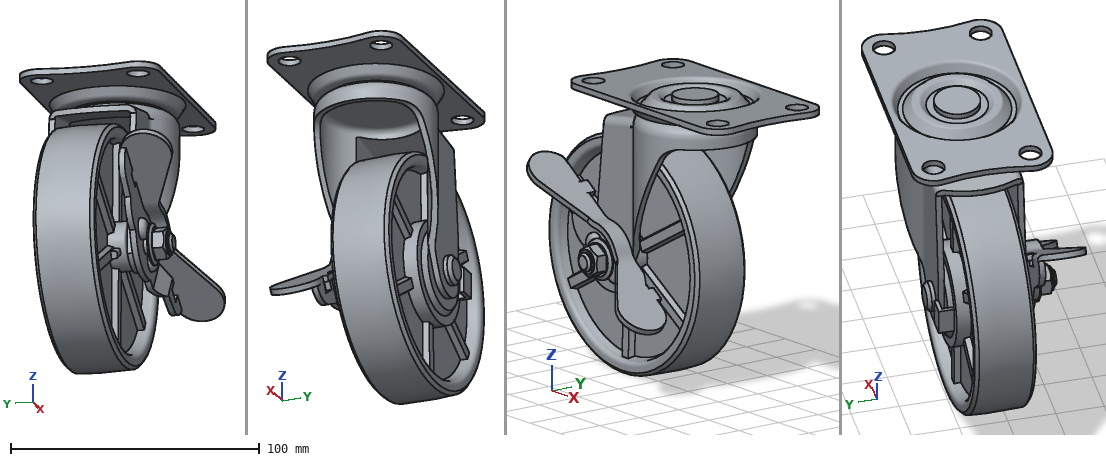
import cadquery as cq
import math


SHEET = 2.5
SWIVEL_X = 32.0
PLATE_TOP = 71.8

PLATE_LENGTH_HALF_WAIST = 47.8
PLATE_WIDTH = 58.0
BOLT_HOLE_X = 41.0
BOLT_HOLE_Y = 20.0
BOLT_HOLE_RADIUS = 4.5
DISH_RADIUS = 27.5
DISH_DEPTH = 4.4
DISH_EDGE = 26.1
DISH_BASE = 24.8
RING_OUTER = 18.2
RING_INNER = 15.0
RING_DROP = 0.3
PIT_DEPTH = 2.2
KINGPIN_RADIUS = 9.4

FORK_RADIUS = 25.0
FORK_TOP = 64.3
FORK_SHOULDER = 5.1
RACE_RADIUS = 20.5
SKIRT_BOTTOM = 55.2
LEG_OUTER_Y = 18.2
LEG_INNER_Y = LEG_OUTER_Y - SHEET
LEG_END_RADIUS = 11.1
LEG_FRONT_X = -5.0
HOOD_FRONT_X = -9.4
HOOD_FRONT_Z = 56.9
HOOD_UNDERSIDE = 54.1
HOOD_ANGLE = 9.2
HOOD_EDGE_RADIUS = 3.7
LEG_BEND_RADIUS = 4.6
LEG_BEND_TOP = 57.3
SKIRT_SWEEP_RADIUS = 10.5
SKIRT_CORNER_X = 42.0

WHEEL_RADIUS = 50.0
WHEEL_HALF_WIDTH = 12.7
TREAD_CROWN = 0.4
TREAD_EDGE = 1.5
RIM_FACE_RADIUS = 45.8
RIM_ROUND = 2.1
WEB_RADIUS = 42.6
WEB_HALF_WIDTH = 7.5
RIB_COUNT = 6
RIB_WIDTH = 4.1
RIB_HALF_WIDTH = 10.0
RIB_DRAFT = 20.0
RIB_TURN = 1.7
HUB_RADIUS = 10.2
HUB_FRONT_Y = -14.9
HUB_ROUND = 0.8
SLEEVE_RADIUS = 4.6
CAP_FLANGE_RADIUS = 21.6
CAP_FLANGE_Y = 13.6
CAP_RADIUS = 17.7
CAP_SLOPE = 2.0
TAB_FRONT_X = -17.8
TAB_REAR_X = -10.3
TAB_HALF_HEIGHT = 5.4
TAB_THICKNESS = 1.7
TAB_GAP = 0.1
KNOB_TURN = 150.0
KNOB_END_RADIUS = 15.5
KNOB_Y = -12.7
KNOB_WIDTH = 3.2
KNOB_ROUND = 1.0

BOLT_RADIUS = 4.0
BOLT_END_Y = -32.5
BOLT_CHAMFER = 1.0
HEAD_RADIUS = 6.2
HEAD_HEIGHT = 3.3
HEAD_EDGE = 1.6
NUT_FLANGE_RADIUS = 8.6
NUT_FLANGE_HEIGHT = 0.7
NUT_CONE_RADIUS = 7.0
NUT_CONE_HEIGHT = 0.9
NUT_CHAMFER = 1.0
NUT_ACROSS_FLATS = 11.6
NUT_HEX_END_Y = -30.4
NUT_COLLAR_RADIUS = 5.0
NUT_COLLAR_HEIGHT = 0.5

LEVER_TILT = 34.0
LEVER_BACK_Y = -LEG_OUTER_Y
LEVER_STEP = 3.7
STEP_START = 17.8
STEP_END = 25.7
WING_END = 42.6
FLANGE_LEFT = 12.8
FLANGE_RIGHT = 11.9
FLANGE_HUMP_RADIUS = 16.2
FLANGE_BLEND_RADIUS = 10.5
FLANGE_BEND_RADIUS = 2.0
FLANGE_Y = -27.2
FLANGE_WAIST_LEFT = -11.9
FLANGE_WAIST_RIGHT = 11.2
PEDAL_RADIUS = 10.4
PEDAL_X = 38.9
LEFT_PEDAL_Y = -28.2
RIGHT_PEDAL_Y = -32.3
DIMPLE_X = 8.5
DIMPLE_RADIUS = 4.5
DIMPLE_HEIGHT = 2.8
DIMPLE_ROUND = 2.5
LEFT_RELIEF_X = -30.7
LEFT_RELIEF_DEPTH = 2.6
RIGHT_RELIEF_X = 28.2
RIGHT_RELIEF_DEPTH = 4.5
RELIEF_LENGTH = 6.5
LUG_REACH = 2.1

LEVER_DEPTH = 52.8
DIMPLE_TOP_Y = LEVER_BACK_Y - SHEET - DIMPLE_HEIGHT


def turned_on_axle(points):
    """Solid of revolution about the Y axis from (radius, y) points."""
    return cq.Workplane("XY").polyline(points).close().revolve(360, (0, 0, 0), (0, 1, 0))


def turned_on_swivel(points):
    """Solid of revolution about the swivel axis from (radius, z) points."""
    ring = cq.Workplane("XZ").polyline(points).close().revolve(360, (0, 0, 0), (0, 1, 0))
    return ring.translate((SWIVEL_X, 0, 0))


def round_ring(body, radius, fillet_radius):
    """Fillet the circular edge of the given radius."""
    rims = body.edges("%CIRCLE").filter(lambda edge: abs(edge.radius() - radius) < 0.01)
    return rims.fillet(fillet_radius)


def axle_cylinder(radius, y_start, y_end):
    return cq.Workplane("XZ", origin=(0, y_start, 0)).circle(radius).extrude(y_start - y_end)


def box_between(x, y, z):
    """Box spanning the three given (low, high) ranges."""
    size = [high - low for low, high in (x, y, z)]
    return cq.Workplane("XY").box(*size, centered=False).translate((x[0], y[0], z[0]))


def plate_outline():
    """Rectangle with round corners about the bolt holes and scooped ends tangent to them."""
    corner = PLATE_WIDTH / 2 - BOLT_HOLE_Y
    waist = PLATE_LENGTH_HALF_WAIST
    gap = waist - BOLT_HOLE_X
    scoop = (BOLT_HOLE_Y**2 + gap**2 - corner**2) / (2 * (corner - gap))
    share = corner / (scoop + corner)
    join_x = BOLT_HOLE_X + share * (waist + scoop - BOLT_HOLE_X)
    join_y = BOLT_HOLE_Y * (1 - share)
    diagonal = corner * math.sqrt(0.5)
    knee_x = BOLT_HOLE_X + diagonal
    knee_y = BOLT_HOLE_Y + diagonal
    edge_y = PLATE_WIDTH / 2
    return (
        cq.Workplane("XY", origin=(SWIVEL_X, 0, PLATE_TOP))
        .moveTo(-BOLT_HOLE_X, edge_y)
        .lineTo(BOLT_HOLE_X, edge_y)
        .threePointArc((knee_x, knee_y), (join_x, join_y))
        .threePointArc((waist, 0), (join_x, -join_y))
        .threePointArc((knee_x, -knee_y), (BOLT_HOLE_X, -edge_y))
        .lineTo(-BOLT_HOLE_X, -edge_y)
        .threePointArc((-knee_x, -knee_y), (-join_x, -join_y))
        .threePointArc((-waist, 0), (-join_x, join_y))
        .threePointArc((-knee_x, knee_y), (-BOLT_HOLE_X, edge_y))
        .close()
    )


def make_plate():
    top = PLATE_TOP
    floor = top - DISH_DEPTH
    pit = top - PIT_DEPTH
    ring_top = top - RING_DROP
    flat = plate_outline().extrude(-SHEET)
    opening = cq.Workplane("XY", origin=(SWIVEL_X, 0, top)).circle(DISH_RADIUS).extrude(-SHEET)
    dish = turned_on_swivel([
        (DISH_RADIUS, top), (DISH_EDGE, top), (23.9, floor), (21.9, floor),
        (RING_OUTER, ring_top), (RING_INNER, ring_top), (12.5, pit), (KINGPIN_RADIUS, pit),
        (KINGPIN_RADIUS, pit - SHEET), (13.5, pit - SHEET), (15.8, ring_top - SHEET),
        (17.0, ring_top - SHEET), (20.5, floor - SHEET), (DISH_BASE, floor - SHEET),
        (DISH_RADIUS, top - SHEET),
    ])
    dish = round_ring(dish, DISH_EDGE, 2.0)
    dish = round_ring(dish, RING_OUTER, 1.3)
    dish = round_ring(dish, RING_INNER, 1.7)
    dish = round_ring(dish, DISH_BASE, 2.4)
    holes = (
        cq.Workplane("XY", origin=(SWIVEL_X, 0, top))
        .rect(2 * BOLT_HOLE_X, 2 * BOLT_HOLE_Y, forConstruction=True)
        .vertices()
        .circle(BOLT_HOLE_RADIUS)
        .extrude(-SHEET)
    )
    return flat.cut(opening).union(dish).cut(holes)


def fork_cup(radius, top, shoulder):
    """Round, downward-open cup volume of the fork."""
    cup = cq.Workplane("XY", origin=(SWIVEL_X, 0, top)).circle(radius).extrude(-top)
    return cup.faces(">Z").edges().fillet(shoulder)


def fork_hood(half_width, drop, front_x, edge_radius):
    """Channel volume between the leg faces under the sloping hood."""
    rise = math.tan(math.radians(HOOD_ANGLE))

    def hood_z(x):
        return HOOD_FRONT_Z - drop + rise * (x - HOOD_FRONT_X)

    side = (
        cq.Workplane("XZ", origin=(0, half_width, 0))
        .polyline([
            (front_x, -LEG_END_RADIUS), (SWIVEL_X, -LEG_END_RADIUS),
            (SWIVEL_X, hood_z(SWIVEL_X)), (front_x, hood_z(front_x)),
        ])
        .close()
        .extrude(2 * half_width)
    )
    return side.faces(">Z").edges("|X or (not |Y)").edges(">Y or <Y").fillet(edge_radius)


def leg_bend(side):
    """Concave bend that blends a flat leg into the round cup (side is -1 or 1)."""
    centre_y = LEG_OUTER_Y + LEG_BEND_RADIUS
    reach = FORK_RADIUS + LEG_BEND_RADIUS
    run = math.sqrt(reach**2 - centre_y**2)
    share = FORK_RADIUS / reach
    slope = math.atan2(-centre_y, run)
    middle = (slope - math.pi / 2) / 2
    middle_x = -run + LEG_BEND_RADIUS * math.cos(middle)
    middle_y = centre_y + LEG_BEND_RADIUS * math.sin(middle)
    return (
        cq.Workplane("XY", origin=(SWIVEL_X, 0, -LEG_END_RADIUS))
        .moveTo(-run, side * LEG_OUTER_Y)
        .threePointArc((middle_x, side * middle_y), (-run * share, side * centre_y * share))
        .lineTo(-run * share, side * LEG_INNER_Y)
        .lineTo(-run, side * LEG_INNER_Y)
        .close()
        .extrude(LEG_BEND_TOP + LEG_END_RADIUS)
    )


def hood_front_trim():
    """Space ahead of the hood, whose front edge bows forward between the legs."""
    clear_x = 2 * HOOD_FRONT_X
    return (
        cq.Workplane("XY", origin=(0, 0, HOOD_UNDERSIDE))
        .moveTo(clear_x, -FORK_RADIUS)
        .lineTo(LEG_FRONT_X, -FORK_RADIUS)
        .lineTo(LEG_FRONT_X, -LEG_OUTER_Y)
        .threePointArc((HOOD_FRONT_X, 0), (LEG_FRONT_X, LEG_OUTER_Y))
        .lineTo(LEG_FRONT_X, FORK_RADIUS)
        .lineTo(clear_x, FORK_RADIUS)
        .close()
        .extrude(FORK_TOP - HOOD_UNDERSIDE)
    )


def tangent_point(x, z, side):
    """Point where a line from (x, z) touches the round leg end; side is -1 for front, 1 for rear."""
    distance = math.hypot(x, z)
    angle = math.atan2(z, x) - side * math.acos(LEG_END_RADIUS / distance)
    return LEG_END_RADIUS * math.cos(angle), LEG_END_RADIUS * math.sin(angle)


def leg_profile():
    """Side silhouette of the fork: tapering legs, swept rear edge and level skirt."""
    front_touch = tangent_point(LEG_FRONT_X, HOOD_UNDERSIDE, -1)
    rear_touch = tangent_point(SKIRT_CORNER_X, SKIRT_BOTTOM, 1)
    back_x = SWIVEL_X + FORK_RADIUS
    profile = (
        cq.Workplane("XZ", origin=(0, FORK_RADIUS, 0))
        .moveTo(HOOD_FRONT_X, FORK_TOP)
        .lineTo(HOOD_FRONT_X, HOOD_UNDERSIDE)
        .lineTo(LEG_FRONT_X, HOOD_UNDERSIDE)
        .lineTo(*front_touch)
        .threePointArc((0, -LEG_END_RADIUS), rear_touch)
        .lineTo(SKIRT_CORNER_X, SKIRT_BOTTOM)
        .lineTo(back_x, SKIRT_BOTTOM)
        .lineTo(back_x, FORK_TOP)
        .close()
        .extrude(2 * FORK_RADIUS)
    )
    corner = cq.selectors.NearestToPointSelector((SKIRT_CORNER_X, 0, SKIRT_BOTTOM))
    return profile.edges("|Y").edges(corner).fillet(SKIRT_SWEEP_RADIUS)


def make_fork():
    outer = fork_cup(FORK_RADIUS, FORK_TOP, FORK_SHOULDER)
    cup_legs = fork_hood(LEG_OUTER_Y, 0, HOOD_FRONT_X, HOOD_EDGE_RADIUS)
    inner = fork_cup(FORK_RADIUS - SHEET, FORK_TOP - SHEET, FORK_SHOULDER - SHEET)
    inner_legs = fork_hood(LEG_INNER_Y, SHEET, 2 * HOOD_FRONT_X, HOOD_EDGE_RADIUS - SHEET)
    fork = outer.union(cup_legs).union(leg_bend(1)).union(leg_bend(-1)).cut(inner).cut(inner_legs)
    fork = fork.intersect(leg_profile()).cut(hood_front_trim())
    cap_underside = FORK_TOP - SHEET
    race_top = PLATE_TOP - DISH_DEPTH - SHEET
    race = cq.Workplane("XY", origin=(SWIVEL_X, 0, cap_underside)).circle(RACE_RADIUS)
    kingpin = cq.Workplane("XY", origin=(SWIVEL_X, 0, cap_underside)).circle(KINGPIN_RADIUS)
    fork = fork.union(race.extrude(race_top - cap_underside))
    fork = fork.union(kingpin.extrude(PLATE_TOP - cap_underside))
    return fork.cut(axle_cylinder(BOLT_RADIUS, LEG_OUTER_Y, -LEG_OUTER_Y))


def wheel_tread():
    edge_radius = WHEEL_RADIUS - TREAD_CROWN
    half = WHEEL_HALF_WIDTH
    return (
        cq.Workplane("XY")
        .moveTo(0, -half)
        .lineTo(edge_radius - TREAD_EDGE, -half)
        .lineTo(edge_radius, -half + TREAD_EDGE)
        .threePointArc((WHEEL_RADIUS, 0), (edge_radius, half - TREAD_EDGE))
        .lineTo(edge_radius - TREAD_EDGE, half)
        .lineTo(0, half)
        .close()
        .revolve(360, (0, 0, 0), (0, 1, 0))
    )


def rim_recess(side):
    """Recess beside the web on one side of the wheel (side is -1 or 1)."""
    face = side * WHEEL_HALF_WIDTH
    web = side * WEB_HALF_WIDTH
    lip_radius = RIM_FACE_RADIUS - RIM_ROUND
    lip = side * (WHEEL_HALF_WIDTH - RIM_ROUND)
    bulge = RIM_ROUND * (1 - math.sqrt(0.5))
    return (
        cq.Workplane("XY")
        .moveTo(0, web)
        .lineTo(WEB_RADIUS, web)
        .lineTo(lip_radius, lip)
        .threePointArc((lip_radius + bulge, face - side * bulge), (RIM_FACE_RADIUS, face))
        .lineTo(0, face)
        .close()
        .revolve(360, (0, 0, 0), (0, 1, 0))
    )


def wheel_ribs():
    flare = RIB_WIDTH / 2 + (RIB_HALF_WIDTH - WEB_HALF_WIDTH) * math.tan(math.radians(RIB_DRAFT))
    half_top = RIB_WIDTH / 2
    section = [
        (-half_top, -RIB_HALF_WIDTH), (half_top, -RIB_HALF_WIDTH), (flare, -WEB_HALF_WIDTH),
        (flare, WEB_HALF_WIDTH), (half_top, RIB_HALF_WIDTH), (-half_top, RIB_HALF_WIDTH),
        (-flare, WEB_HALF_WIDTH), (-flare, -WEB_HALF_WIDTH),
    ]
    rib = cq.Workplane("XY").polyline(section).close().extrude(RIM_FACE_RADIUS - 1.3)
    ribs = cq.Workplane("XY")
    for index in range(RIB_COUNT):
        ribs = ribs.union(rib.rotate((0, 0, 0), (0, 1, 0), RIB_TURN + index * 360 / RIB_COUNT))
    return ribs


def cap_tab():
    """Tab that stands on the bearing cap and hooks over the outside of the leg."""
    arm_y = LEG_OUTER_Y + TAB_GAP
    outer_y = arm_y + TAB_THICKNESS
    height = (-TAB_HALF_HEIGHT, TAB_HALF_HEIGHT)
    post = box_between((TAB_FRONT_X, TAB_FRONT_X + TAB_THICKNESS), (CAP_FLANGE_Y, outer_y), height)
    arm = box_between((TAB_FRONT_X, TAB_REAR_X), (arm_y, outer_y), height)
    return post.union(arm)


def make_wheel():
    wheel = wheel_tread().cut(rim_recess(-1)).cut(rim_recess(1)).union(wheel_ribs())
    front_hub = axle_cylinder(HUB_RADIUS, 0, HUB_FRONT_Y).faces("<Y").edges().fillet(HUB_ROUND)
    sleeve = axle_cylinder(SLEEVE_RADIUS, 0, -LEG_INNER_Y)
    cap_flange = axle_cylinder(CAP_FLANGE_RADIUS, CAP_FLANGE_Y, 0)
    cap = turned_on_axle([
        (0, 0), (CAP_RADIUS, 0), (CAP_RADIUS, CAP_FLANGE_Y),
        (CAP_RADIUS - CAP_SLOPE, LEG_INNER_Y), (0, LEG_INNER_Y),
    ])
    knob = box_between((0, KNOB_END_RADIUS), (KNOB_Y, 0), (-KNOB_WIDTH / 2, KNOB_WIDTH / 2))
    knob = knob.edges("|X and <Y").fillet(KNOB_ROUND)
    knob = knob.rotate((0, 0, 0), (0, 1, 0), KNOB_TURN + RIB_TURN)
    for part in (front_hub, sleeve, cap_flange, cap, cap_tab(), knob):
        wheel = wheel.union(part)
    return wheel.cut(axle_cylinder(BOLT_RADIUS, LEG_INNER_Y, -LEG_INNER_Y))


def make_bolt():
    shank = axle_cylinder(BOLT_RADIUS, LEG_OUTER_Y, BOLT_END_Y).faces("<Y").edges().chamfer(BOLT_CHAMFER)
    head = axle_cylinder(HEAD_RADIUS, LEG_OUTER_Y + HEAD_HEIGHT, LEG_OUTER_Y)
    return shank.union(head.faces(">Y").edges().chamfer(HEAD_EDGE))


def make_nut():
    corner_radius = NUT_ACROSS_FLATS / math.sqrt(3)
    flange_y = DIMPLE_TOP_Y - NUT_FLANGE_HEIGHT
    cone_y = flange_y - NUT_CONE_HEIGHT
    hexagon = (
        cq.Workplane("XZ", origin=(0, DIMPLE_TOP_Y, 0))
        .polygon(6, 2 * corner_radius)
        .extrude(DIMPLE_TOP_Y - NUT_HEX_END_Y)
        .rotate((0, 0, 0), (0, 1, 0), 30)
    )
    chamfer_cone = turned_on_axle([
        (0, DIMPLE_TOP_Y), (corner_radius + 0.1, DIMPLE_TOP_Y),
        (corner_radius + 0.1, NUT_HEX_END_Y + NUT_CHAMFER),
        (NUT_COLLAR_RADIUS, NUT_HEX_END_Y), (0, NUT_HEX_END_Y),
    ])
    flange = turned_on_axle([
        (0, DIMPLE_TOP_Y), (NUT_FLANGE_RADIUS, DIMPLE_TOP_Y), (NUT_FLANGE_RADIUS, flange_y),
        (NUT_CONE_RADIUS, cone_y), (0, cone_y),
    ])
    collar = axle_cylinder(NUT_COLLAR_RADIUS, NUT_HEX_END_Y, NUT_HEX_END_Y - NUT_COLLAR_HEIGHT)
    nut = hexagon.intersect(chamfer_cone).union(flange).union(collar)
    return nut.cut(axle_cylinder(BOLT_RADIUS, 0, BOLT_END_Y))


def hump_band(inset):
    """Region below the flange line, pulled in by the given inset."""
    hump = FLANGE_HUMP_RADIUS - inset
    blend = FLANGE_BLEND_RADIUS + inset
    end = PEDAL_X + PEDAL_RADIUS
    left = FLANGE_LEFT - inset
    right = FLANGE_RIGHT - inset
    left_blend_x = -math.sqrt((hump + blend) ** 2 - (left + blend) ** 2)
    right_blend_x = math.sqrt((hump + blend) ** 2 - (right + blend) ** 2)
    share = hump / (hump + blend)

    def sweep(centre_x, level):
        start = math.atan2(-(level + blend), -centre_x)
        middle = (start - math.pi / 2) / 2
        return centre_x + blend * math.cos(middle), level + blend + blend * math.sin(middle)

    return (
        cq.Workplane("XZ")
        .moveTo(-end, -FLANGE_HUMP_RADIUS)
        .lineTo(-end, left)
        .lineTo(left_blend_x, left)
        .threePointArc(sweep(left_blend_x, left), (left_blend_x * share, (left + blend) * share))
        .threePointArc((0, hump), (right_blend_x * share, (right + blend) * share))
        .threePointArc(sweep(right_blend_x, right), (right_blend_x, right))
        .lineTo(end, right)
        .lineTo(end, -FLANGE_HUMP_RADIUS)
        .close()
        .extrude(LEVER_DEPTH)
    )


def lever_sheet():
    """Stepped sheet, cut to the lever outline."""
    back = LEVER_BACK_Y
    end = PEDAL_X + PEDAL_RADIUS
    sheet = (
        cq.Workplane("XY", origin=(0, 0, -FLANGE_HUMP_RADIUS))
        .polyline([
            (-end, back), (STEP_START, back), (STEP_END, back - LEVER_STEP), (end, back - LEVER_STEP),
            (end, back - LEVER_STEP - SHEET), (STEP_END, back - LEVER_STEP - SHEET),
            (STEP_START, back - SHEET), (-end, back - SHEET),
        ])
        .close()
        .extrude(2 * FLANGE_HUMP_RADIUS)
    )
    outline = (
        cq.Workplane("XZ")
        .moveTo(-WING_END, FLANGE_LEFT - SHEET)
        .threePointArc((-40.5, 3.7), (-35.6, 0.3))
        .lineTo(-26.4, -1.2)
        .threePointArc((-21.4, -5.4), (-13.6, -6.6))
        .lineTo(-9.2, -9.6)
        .threePointArc((0, -12.3), (9.2, -9.6))
        .lineTo(13.6, -6.6)
        .threePointArc((21.4, -5.4), (26.4, -1.2))
        .lineTo(35.6, 0.3)
        .threePointArc((40.5, 3.7), (WING_END, FLANGE_RIGHT - SHEET))
        .lineTo(WING_END, FLANGE_HUMP_RADIUS)
        .lineTo(-WING_END, FLANGE_HUMP_RADIUS)
        .close()
        .extrude(LEVER_DEPTH)
    )
    return sheet.intersect(outline).intersect(hump_band(SHEET))


def tangent_on_pedal(corner_x, corner_y, centre_x, centre_y, side):
    """Point where a line from the flange corner touches the round pedal end."""
    run_x = corner_x - centre_x
    run_y = corner_y - centre_y
    angle = math.atan2(run_y, run_x) + side * math.acos(PEDAL_RADIUS / math.hypot(run_x, run_y))
    return centre_x + PEDAL_RADIUS * math.cos(angle), centre_y + PEDAL_RADIUS * math.sin(angle)


def pedal_outline():
    """Plan shape of the flange with its two round pedals."""
    back = LEVER_BACK_Y
    stepped = back - LEVER_STEP
    left_touch = tangent_on_pedal(FLANGE_WAIST_LEFT, FLANGE_Y, -PEDAL_X, LEFT_PEDAL_Y, -1)
    right_touch = tangent_on_pedal(FLANGE_WAIST_RIGHT, FLANGE_Y, PEDAL_X, RIGHT_PEDAL_Y, 1)
    left_root = -PEDAL_X - math.sqrt(PEDAL_RADIUS**2 - (back - LEFT_PEDAL_Y) ** 2)
    right_root = PEDAL_X + math.sqrt(PEDAL_RADIUS**2 - (stepped - RIGHT_PEDAL_Y) ** 2)
    return (
        cq.Workplane("XY", origin=(0, 0, -FLANGE_HUMP_RADIUS))
        .moveTo(left_root, back)
        .threePointArc((-PEDAL_X - PEDAL_RADIUS, LEFT_PEDAL_Y), left_touch)
        .lineTo(FLANGE_WAIST_LEFT, FLANGE_Y)
        .lineTo(FLANGE_WAIST_RIGHT, FLANGE_Y)
        .lineTo(*right_touch)
        .threePointArc((PEDAL_X + PEDAL_RADIUS, RIGHT_PEDAL_Y), (right_root, stepped))
        .lineTo(STEP_END, stepped)
        .lineTo(STEP_START, back)
        .close()
        .extrude(3 * FLANGE_HUMP_RADIUS)
    )


def make_lever():
    flange = hump_band(0).cut(hump_band(SHEET)).intersect(pedal_outline())
    lever = lever_sheet().union(flange)
    bend_low = (-52.8, LEVER_BACK_Y - 0.1, 11.2)
    bend_high = (STEP_START, LEVER_BACK_Y + 0.1, 17.2)
    bend = lever.edges(cq.selectors.BoxSelector(bend_low, bend_high))
    lever = bend.fillet(FLANGE_BEND_RADIUS)
    for x in (-DIMPLE_X, DIMPLE_X):
        dimple = axle_cylinder(DIMPLE_RADIUS, LEVER_BACK_Y - SHEET, DIMPLE_TOP_Y)
        dimple = dimple.faces("<Y").edges().fillet(DIMPLE_ROUND)
        lever = lever.union(dimple.translate((x, 0, 0)))
    for x, level, depth, back in (
        (LEFT_RELIEF_X, FLANGE_LEFT, LEFT_RELIEF_DEPTH, LEVER_BACK_Y),
        (RIGHT_RELIEF_X, FLANGE_RIGHT, RIGHT_RELIEF_DEPTH, LEVER_BACK_Y - LEVER_STEP),
    ):
        span = (x, x + RELIEF_LENGTH)
        window = box_between(span, (back - SHEET, back), (level - SHEET - depth, level - SHEET))
        lug = box_between(span, (back - SHEET, back + LUG_REACH), (level - SHEET, level))
        lever = lever.cut(window).union(lug)
    lever = lever.cut(axle_cylinder(BOLT_RADIUS, 0, BOLT_END_Y))
    return lever.rotate((0, 0, 0), (0, 1, 0), LEVER_TILT)


plate = make_plate()
fork = make_fork()
wheel = make_wheel()
bolt = make_bolt()
nut = make_nut()
lever = make_lever().cut(fork)

result = cq.Compound.makeCompound([
    *plate.solids().vals(), *fork.solids().vals(), *wheel.solids().vals(),
    *bolt.solids().vals(), *nut.solids().vals(), *lever.solids().vals(),
])